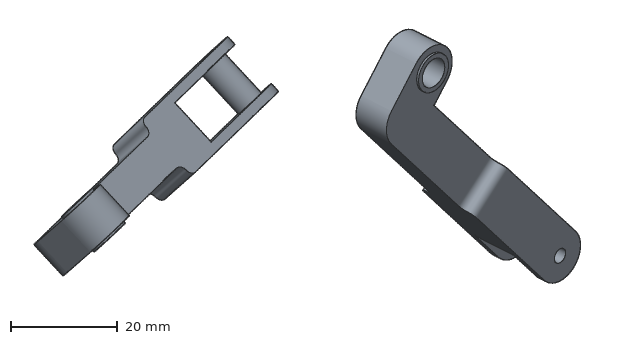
import cadquery as cq
import math

arm_tilt = 7.3
roll = 33.475

end_radius = 5.5
boss_back = 60.03
boss_rise = 9.9
bend_back = 58.53

fork_width = 14.0
arm_width = 8.0
cheek_thickness = 2.0
shoulder_start = 27.75

slot_floor_bottom = 9.57
slot_floor_top = 19.475
slot_floor_radius = 15.0

fork_hole_diameter = 3.0
spacer_diameter = 5.9
bush_inner_diameter = 6.0
bush_outer_diameter = 8.0
bush_projection = 0.5

slot_width = fork_width - 2 * cheek_thickness
shoulder_depth = (fork_width - arm_width) / 2
shoulder_radius = shoulder_depth / 2


def cylinder(back, rise, diameter, length):
    """Cylinder on an axis across the lever, centred on its mid-plane."""
    return (
        cq.Workplane("YZ", origin=(-length / 2, 0, 0))
        .center(-back, rise)
        .circle(diameter / 2)
        .extrude(length)
    )


def link(start, end):
    """Full-width bar with round ends centred on two (y, z) points."""
    length = math.dist(start, end)
    angle = math.degrees(math.atan2(end[1] - start[1], end[0] - start[0]))
    middle = ((start[0] + end[0]) / 2, (start[1] + end[1]) / 2)
    return (
        cq.Workplane("YZ", origin=(-fork_width / 2, 0, 0))
        .center(*middle)
        .slot2D(length + 2 * end_radius, 2 * end_radius, angle)
        .extrude(fork_width)
    )


def make_plan():
    """Width outline of the lever, with S-shaped shoulders from fork to arm."""
    front = end_radius
    back = -(boss_back + end_radius)
    half_fork = fork_width / 2
    half_arm = arm_width / 2
    bottom = -end_radius
    height = boss_rise + 2 * end_radius
    middle = -(shoulder_start + shoulder_radius)
    quarter = shoulder_radius * math.sqrt(0.5)
    half_plan = (
        cq.Workplane("XY", origin=(0, 0, bottom))
        .moveTo(0, front)
        .lineTo(half_fork, front)
        .lineTo(half_fork, -shoulder_start)
        .threePointArc(
            (half_fork - shoulder_radius + quarter, -shoulder_start - quarter),
            (half_fork - shoulder_radius, middle),
        )
        .threePointArc(
            (half_arm + shoulder_radius - quarter, middle - shoulder_radius + quarter),
            (half_arm, middle - shoulder_radius),
        )
        .lineTo(half_arm, back)
        .lineTo(0, back)
        .close()
        .extrude(height)
    )
    return half_plan.union(half_plan.mirror("YZ"))


def make_slot():
    """Cut between the cheeks, with a floor that curves back towards the top."""
    front = 2 * end_radius
    return (
        cq.Workplane("YZ", origin=(-slot_width / 2, 0, 0))
        .moveTo(front, end_radius)
        .lineTo(front, -end_radius)
        .lineTo(-slot_floor_bottom, -end_radius)
        .radiusArc((-slot_floor_top, end_radius), slot_floor_radius)
        .close()
        .extrude(slot_width)
    )


def make_lever():
    """Cranked lever with a hollow spacer between its fork cheeks and a bored boss."""
    bend = (-bend_back, 0)
    profile = link(bend, (0, 0)).union(link((-boss_back, boss_rise), bend))
    boss_bore = cylinder(boss_back, boss_rise, bush_outer_diameter, fork_width)
    spacer = cylinder(0, 0, spacer_diameter, slot_width)
    fork_hole = cylinder(0, 0, fork_hole_diameter, fork_width)
    body = profile.intersect(make_plan()).cut(make_slot())
    return body.cut(boss_bore).union(spacer).cut(fork_hole)


def make_bush():
    """Plain bush in the boss, standing proud of both boss faces."""
    length = arm_width + 2 * bush_projection
    bore = cylinder(boss_back, boss_rise, bush_inner_diameter, length)
    return cylinder(boss_back, boss_rise, bush_outer_diameter, length).cut(bore)


def place(body):
    """Tilt and roll a body from the untilted lever frame into position."""
    origin = (0, 0, 0)
    tilted = body.rotate(origin, (1, 0, 0), -arm_tilt)
    return tilted.rotate(origin, (0, 1, 0), roll)


lever = place(make_lever()).solids()
bush = place(make_bush()).solids()
result = cq.Compound.makeCompound([lever.val(), bush.val()])